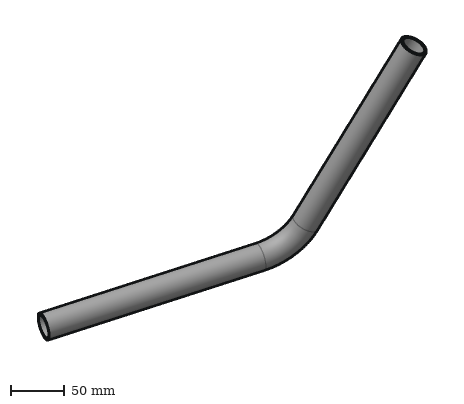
import cadquery as cq
import math

outer_diameter = 27.0
inner_diameter = 22.3
bend_angle = 60.0
bend_radius = 54.0
overall_length = 391.0

angle = math.radians(bend_angle)
bend_run = bend_radius * math.sin(angle)
end_overhang = outer_diameter / 2 * math.sin(angle)
leg_length = (overall_length - bend_run - end_overhang) / (1 + math.cos(angle))


def bend_point(turn):
    """Centreline point (y, z) after turning through an angle in radians."""
    y = leg_length + bend_radius * math.sin(turn)
    z = bend_radius * (1 - math.cos(turn))
    return y, z


bend_end = bend_point(angle)
tip = (
    bend_end[0] + leg_length * math.cos(angle),
    bend_end[1] + leg_length * math.sin(angle),
)
centreline = (
    cq.Workplane("YZ")
    .lineTo(leg_length, 0)
    .threePointArc(bend_point(angle / 2), bend_end)
    .lineTo(*tip)
)

result = (
    cq.Workplane("XZ")
    .circle(outer_diameter / 2)
    .circle(inner_diameter / 2)
    .sweep(centreline)
)